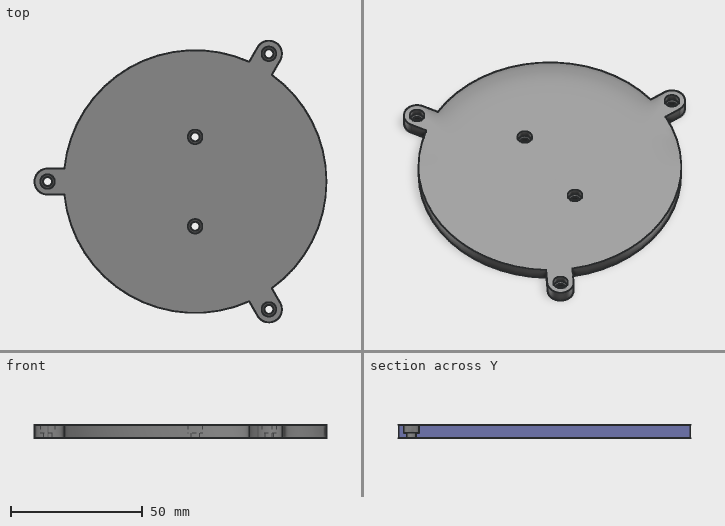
import cadquery as cq

plate_radius = 49.9
thickness = 5.0

lug_radius = 5.0
lug_center_distance = 56.0
lug_angles = (60, 180, 300)

hole_diameter = 3.3
counterbore_diameter = 5.5
counterbore_depth = 3.0
inner_hole_offset = 17.0


def make_lug(angle):
    """Straight arm from the plate centre with a round end, turned to the given angle."""
    arm = cq.Workplane("XY").rect(lug_center_distance, 2 * lug_radius).extrude(thickness)
    arm = arm.translate((lug_center_distance / 2, 0, 0))
    tip = cq.Workplane("XY").center(lug_center_distance, 0).circle(lug_radius).extrude(thickness)
    return arm.union(tip).rotate((0, 0, 0), (0, 0, 1), angle)


def make_screw_hole(distance, angle):
    """Through hole with a counterbore from the top, at a polar position."""
    shank = cq.Workplane("XY").circle(hole_diameter / 2).extrude(thickness)
    head = (
        cq.Workplane("XY", origin=(0, 0, thickness))
        .circle(counterbore_diameter / 2)
        .extrude(-counterbore_depth)
    )
    hole = shank.union(head).translate((distance, 0, 0))
    return hole.rotate((0, 0, 0), (0, 0, 1), angle)


result = cq.Workplane("XY").circle(plate_radius).extrude(thickness)

for lug_angle in lug_angles:
    result = result.union(make_lug(lug_angle))

for lug_angle in lug_angles:
    result = result.cut(make_screw_hole(lug_center_distance, lug_angle))

for inner_angle in (90, 270):
    result = result.cut(make_screw_hole(inner_hole_offset, inner_angle))